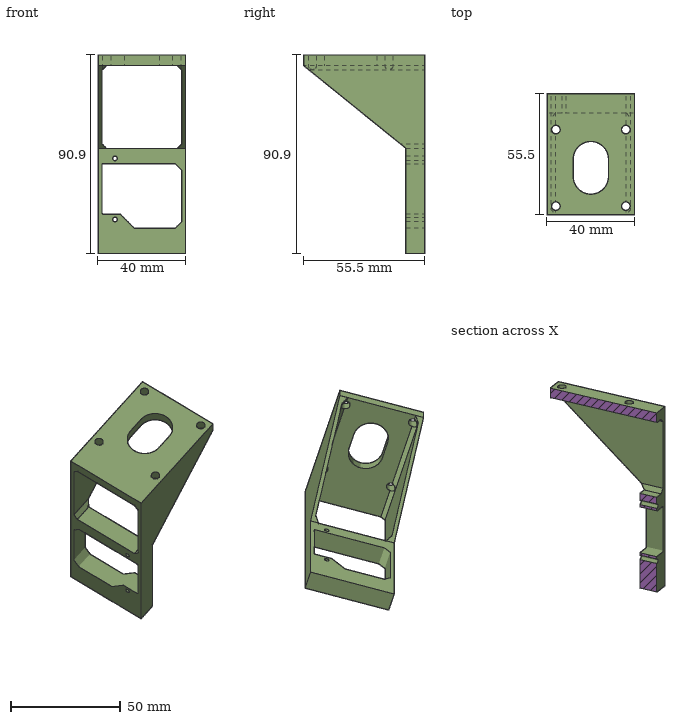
import cadquery as cq

width = 40.0
depth = 55.5
height = 90.9

plate_thickness = 5.0
back_thickness = 8.8
side_wall = 1.8
knee_height = 48.2

upper_chamfer = 2.0

lower_bottom = 11.6
lower_top = 41.1
lower_chamfer = 2.9
step_height = 6.5
step_width = 8.3
lower_corner_radius = 0.5

pin_diameter = 2.0
pin_from_side = 7.7
pin_heights = (15.6, 43.55)

mount_diameter = 3.8
mount_inset = 4.0
mount_pitch_y = 35.0
slot_width = 16.0
slot_length = 24.0

inner_half_width = width / 2 - side_wall
plate_underside = height - plate_thickness
pattern_center_y = -depth + mount_inset + mount_pitch_y / 2


def make_body():
    """Side profile with sloping front, extruded across the width."""
    profile = [
        (0, 0),
        (0, height),
        (-depth, height),
        (-depth, plate_underside),
        (-back_thickness, knee_height),
        (-back_thickness, 0),
    ]
    return cq.Workplane("YZ").polyline(profile).close().extrude(width / 2, both=True)


def make_upper_opening():
    """Chamfered rectangular passage between the gussets, through the full depth."""
    return (
        cq.Workplane("XY")
        .box(2 * inner_half_width, depth, plate_underside - knee_height)
        .edges("|Y")
        .chamfer(upper_chamfer)
        .translate((0, -depth / 2, (plate_underside + knee_height) / 2))
    )


def make_lower_opening():
    """Stepped opening through the back wall, with softened corners."""
    left = -inner_half_width
    right = inner_half_width
    step_x = left + step_width
    step_z = lower_bottom + step_height
    outline = [
        (left, lower_top),
        (right - lower_chamfer, lower_top),
        (right, lower_top - lower_chamfer),
        (right, lower_bottom + lower_chamfer),
        (right - lower_chamfer, lower_bottom),
        (step_x + step_height, lower_bottom),
        (step_x, step_z),
        (left, step_z),
    ]
    return (
        cq.Workplane("XZ")
        .polyline(outline)
        .close()
        .extrude(back_thickness)
        .edges("|Y")
        .fillet(lower_corner_radius)
    )


def make_pin_holes():
    """Pair of small holes above and below the lower opening."""
    pin_x = -width / 2 + pin_from_side
    return (
        cq.Workplane("XZ")
        .pushPoints([(pin_x, z) for z in pin_heights])
        .circle(pin_diameter / 2)
        .extrude(back_thickness)
    )


def make_plate_cuts():
    """Four mounting holes around a central slot, also clearing the chamfers below."""
    cut_depth = plate_thickness + upper_chamfer
    cut_plane = cq.Workplane("XY", origin=(0, pattern_center_y, height - cut_depth))
    holes = (
        cut_plane.rect(width - 2 * mount_inset, mount_pitch_y, forConstruction=True)
        .vertices()
        .circle(mount_diameter / 2)
        .extrude(cut_depth)
    )
    slot = cut_plane.slot2D(slot_length, slot_width, 90).extrude(cut_depth)
    return holes.union(slot)


result = (
    make_body()
    .cut(make_upper_opening())
    .cut(make_lower_opening())
    .cut(make_pin_holes())
    .cut(make_plate_cuts())
)